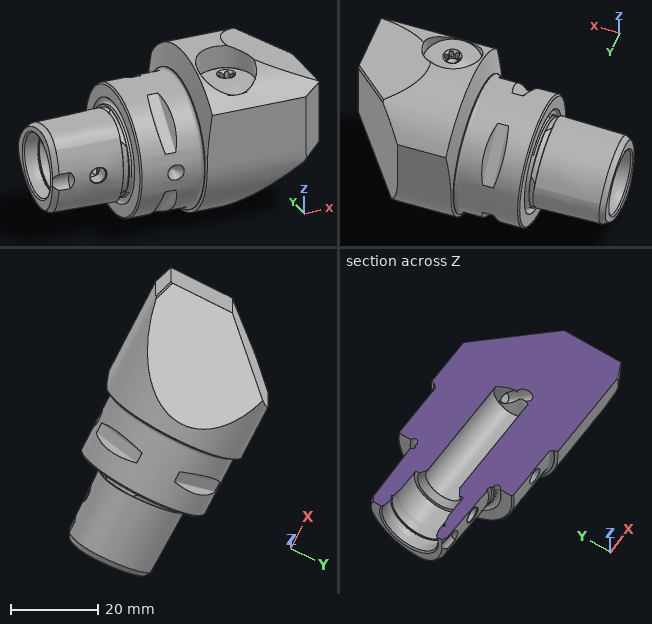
import cadquery as cq
import math

total_length = 64.0
cut_block = 128.0

lobe_centre_radius = 4.8
lobe_arc_radius = 6.85
lobe_spacing = lobe_centre_radius * math.sqrt(3)
taper_end_x = 17.3
taper_inset = 0.4
tip_chamfer_length = 1.35
tip_chamfer_angle = 30.0
tip_chamfer_depth = tip_chamfer_length * math.tan(math.radians(tip_chamfer_angle))
neck_radius = 10.8
root_radius = 10.95
neck_inset = 0.3
neck_flat_end_x = 18.5

collar_radius = 16.0
collar_start_x = 19.1
collar_end_x = 34.0
collar_chamfer = 0.4
relief_outer_radius = 12.55
relief_radius = (relief_outer_radius - root_radius) / 2
collar_fillet_radius = 0.8

notch_x = 26.95
notch_floor_width = 2.6
notch_floor_distance = 14.2
notch_wall_angle = 30.0
notch_fillet = 0.2
notch_angles = (45, 135, 225, 315)

dimple_x = 28.0
dimple_radius = 2.05

head_width = 35.0
head_height = 39.75
head_half_width = head_width / 2
head_top_radius = head_height - head_half_width
head_back_x = 35.15
back_cone_angle = 15.0
top_slope_angle = 20.0
top_slope_start_x = 46.85
bottom_slope_angle = 35.0
bottom_slope_tip_z = 0.05
oblique_face_angle = 47.7
oblique_corner_y = 0.2
top_edge_mid_x = 58.9
end_bevel_x = 59.85
end_bevel_depth = 1.85
edge_chamfer = 0.4

mouth_radius = 8.1
entry_radius = 7.75
entry_end_x = 1.9
bore_radius = 7.3
bore_narrowing_x = 4.85
bore_cone_radius = 7.2
bore_step_radius = 7.0
bore_cone_start_x = 5.7
bore_cone_end_x = 6.35
groove_x = 3.5
groove_width = 0.4
step_inner_radius = 6.0
bore_step_x = 12.5
inner_cone_half_angle = 30.0
coolant_radius = 5.0
coolant_end_x = 42.25
drill_half_angle = 59.0

key_radius = 2.95
key_axis_y = -12.0
key_length = 4.1
cross_hole_x = 11.0
cross_hole_radius = 1.9
cross_hole_countersink = 0.25

pocket_x = 44.0
pocket_y = -8.05
pocket_radius = 7.0
pocket_floor_z = 10.25
dome_top_z = 18.7
dome_radius = 11.8
socket_outer_radius = 1.9
socket_lobe_radius = 0.5
socket_countersink_radius = 2.4
socket_lobes = 6
socket_depth = 2.55

channel_radius = 1.4
channel_angle = 45.0
channel_start = 4.8


def lobe_section(x, inset):
    """Three-lobed outline, parallel to the YZ plane at x and offset inwards by inset."""
    lobe = lobe_arc_radius - inset
    flat = lobe + lobe_spacing

    def point(centre_angle, radius, normal_angle):
        centre = math.radians(centre_angle)
        normal = math.radians(normal_angle)
        return (lobe_centre_radius * math.cos(centre) + radius * math.cos(normal),
                lobe_centre_radius * math.sin(centre) + radius * math.sin(normal))

    outline = cq.Workplane("YZ", origin=(x, 0, 0)).moveTo(*point(0, lobe, -30))
    for angle in (0, 120, 240):
        outline = outline.threePointArc(point(angle, lobe, angle), point(angle, lobe, angle + 30))
        outline = outline.threePointArc(
            point(angle + 240, flat, angle + 60), point(angle + 120, lobe, angle + 90))
    return outline.close().val()


def lobe_frustum(x0, inset0, x1, inset1):
    sections = [lobe_section(x0, inset0), lobe_section(x1, inset1)]
    return cq.Workplane(cq.Solid.makeLoft(sections, True))


def turned(points):
    """Solid of revolution about X from (x, radius) points that start and end on the axis."""
    return cq.Workplane("XY").polyline(points).close().revolve(360, (0, 0, 0), (1, 0, 0))


def cone_along(origin, direction, radius, depth):
    return cq.Workplane(cq.Solid.makeCone(radius, 0, depth, cq.Vector(*origin), cq.Vector(*direction)))


def cylinder_along(origin, direction, radius, length):
    return cq.Workplane(cq.Solid.makeCylinder(radius, length, cq.Vector(*origin), cq.Vector(*direction)))


def space_beyond(point, normal):
    """Large block that fills the space on the outer side of a plane."""
    return cq.Workplane(cq.Plane(point, normal=normal)).rect(cut_block, cut_block).extrude(cut_block)


def make_shank():
    base_x = tip_chamfer_length
    tip = lobe_frustum(0, taper_inset + tip_chamfer_depth, base_x, taper_inset)
    taper = lobe_frustum(base_x, taper_inset, taper_end_x, 0)
    root_end_x = collar_start_x + relief_radius
    neck_length = neck_flat_end_x - taper_end_x
    neck_envelope = cylinder_along((taper_end_x, 0, 0), (1, 0, 0), neck_radius, neck_length)
    neck = lobe_frustum(taper_end_x, neck_inset, neck_flat_end_x, 0).intersect(neck_envelope)
    root = cylinder_along((neck_flat_end_x, 0, 0), (1, 0, 0), root_radius, root_end_x - neck_flat_end_x)
    return tip.union(taper).union(neck).union(root)


def make_collar():
    fillet_top = collar_radius + collar_fillet_radius
    fillet_mid = collar_fillet_radius * math.sqrt(0.5)
    collar = (
        cq.Workplane("XY")
        .moveTo(collar_start_x, 0)
        .lineTo(collar_start_x, collar_radius - collar_chamfer)
        .lineTo(collar_start_x + collar_chamfer, collar_radius)
        .lineTo(collar_end_x, collar_radius)
        .threePointArc(
            (collar_end_x + fillet_mid, fillet_top - fillet_mid),
            (collar_end_x + collar_fillet_radius, fillet_top))
        .lineTo(head_back_x + collar_fillet_radius, fillet_top)
        .lineTo(head_back_x + collar_fillet_radius, 0)
        .close()
        .revolve(360, (0, 0, 0), (1, 0, 0))
    )
    relief = (
        cq.Workplane("XY")
        .moveTo(collar_start_x, root_radius)
        .threePointArc(
            (collar_start_x + relief_radius, root_radius + relief_radius),
            (collar_start_x, relief_outer_radius))
        .close()
        .revolve(360, (0, 0, 0), (1, 0, 0))
    )
    collar = collar.cut(relief)
    for angle in notch_angles:
        collar = collar.cut(gripper_notch().rotate((0, 0, 0), (1, 0, 0), angle))
    dimple = cone_along((dimple_x, -collar_radius, 0), (0, 1, 0), dimple_radius, dimple_radius)
    return collar.cut(dimple)


def gripper_notch():
    """Trapezoidal groove across the +Y side of the collar."""
    depth = collar_radius - notch_floor_distance
    floor = notch_floor_width / 2
    mouth = floor + depth * math.tan(math.radians(notch_wall_angle))
    return (
        cq.Workplane("XY", origin=(notch_x, 0, -collar_radius))
        .polyline([(-floor, notch_floor_distance), (floor, notch_floor_distance),
                   (mouth, collar_radius), (-mouth, collar_radius)])
        .close()
        .extrude(2 * collar_radius)
        .edges("|Z and <Y")
        .fillet(notch_fillet)
    )


def make_head():
    cone_slope = math.tan(math.radians(back_cone_angle))
    top_back_x = head_back_x + (head_top_radius - head_half_width) * cone_slope
    axis_back_x = head_back_x - head_half_width * cone_slope
    head = turned([(axis_back_x, 0), (top_back_x, head_top_radius),
                   (total_length, head_top_radius), (total_length, 0)])
    head = head.intersect(space_beyond((collar_end_x, 0, 0), (1, 0, 0)))
    outline = (
        cq.Workplane("YZ")
        .moveTo(-head_half_width, head_top_radius)
        .lineTo(-head_half_width, 0)
        .threePointArc((0, -head_half_width), (head_half_width, 0))
        .lineTo(head_half_width, head_top_radius)
        .close()
        .extrude(total_length)
    )
    head = head.intersect(outline)

    top = math.radians(top_slope_angle)
    bottom = math.radians(bottom_slope_angle)
    oblique = math.radians(oblique_face_angle)
    planes = [
        ((top_slope_start_x, 0, head_top_radius), (math.sin(top), 0, math.cos(top))),
        ((total_length, 0, bottom_slope_tip_z), (math.sin(bottom), 0, -math.cos(bottom))),
        ((total_length, oblique_corner_y, 0), (math.sin(oblique), math.cos(oblique), 0)),
        ((end_bevel_x, -head_half_width, 0), (end_bevel_depth, end_bevel_x - total_length, 0)),
    ]
    for point, normal in planes:
        head = head.cut(space_beyond(point, normal))

    bevel_mid_x = (end_bevel_x + total_length) / 2
    bevel_edge = (
        bevel_mid_x,
        end_bevel_depth / 2 - head_half_width,
        bottom_slope_tip_z - (total_length - bevel_mid_x) * math.tan(bottom),
    )
    top_edge = (
        top_edge_mid_x,
        oblique_corner_y + (total_length - top_edge_mid_x) * math.tan(oblique),
        head_top_radius - (top_edge_mid_x - top_slope_start_x) * math.tan(top),
    )
    for point in (top_edge, bevel_edge):
        head = head.edges(cq.selectors.NearestToPointSelector(point)).chamfer(edge_chamfer)
    return head


def make_bore():
    bore_tip_x = coolant_end_x + coolant_radius / math.tan(math.radians(drill_half_angle))
    mouth_chamfer = mouth_radius - entry_radius
    cone_length = (step_inner_radius - coolant_radius) / math.tan(math.radians(inner_cone_half_angle))
    cone_end_x = bore_step_x + cone_length
    groove_end_x = groove_x + groove_width
    return turned([
        (0, 0),
        (0, mouth_radius),
        (mouth_chamfer, entry_radius),
        (entry_end_x, bore_radius),
        (groove_x, bore_radius),
        (groove_x, entry_radius),
        (groove_end_x, entry_radius),
        (groove_end_x, bore_radius),
        (bore_narrowing_x, bore_radius),
        (bore_cone_start_x, bore_cone_radius),
        (bore_cone_end_x, bore_step_radius),
        (bore_step_x, bore_step_radius),
        (bore_step_x, step_inner_radius),
        (cone_end_x, coolant_radius),
        (coolant_end_x, coolant_radius),
        (bore_tip_x, 0),
    ])


def make_keyway():
    slot = cylinder_along((0, key_axis_y, 0), (1, 0, 0), key_radius, key_length)
    tip = cone_along((key_length, key_axis_y, 0), (1, 0, 0), key_radius, key_radius)
    return slot.union(tip)


def make_cross_hole():
    flat_y = -(lobe_arc_radius + lobe_spacing - lobe_centre_radius)
    surface_y = flat_y + taper_inset * (1 - cross_hole_x / taper_end_x)
    bore_wall_y = -math.sqrt(bore_step_radius ** 2 - cross_hole_radius ** 2)
    hole = cylinder_along((cross_hole_x, flat_y, 0), (0, 1, 0), cross_hole_radius, bore_wall_y - flat_y)
    rim_radius = cross_hole_radius + cross_hole_countersink
    countersink = cone_along((cross_hole_x, surface_y, 0), (0, 1, 0), rim_radius, rim_radius)
    return hole.union(countersink)


def make_pocket():
    return cylinder_along((pocket_x, pocket_y, pocket_floor_z), (0, 0, 1), pocket_radius, head_top_radius)


def make_channel():
    """Cross drilling that slants up towards -Y and opens into the pocket floor."""
    direction = (0, -math.sin(math.radians(channel_angle)), math.cos(math.radians(channel_angle)))
    start = (pocket_x, -channel_start * direction[1], -channel_start * direction[2])
    length = channel_start + pocket_floor_z / direction[2]
    return cylinder_along(start, direction, channel_radius, length)


def make_holder():
    holder = make_shank().union(make_collar()).union(make_head())
    for void in (make_bore(), make_keyway(), make_cross_hole(), make_pocket(), make_channel()):
        holder = holder.cut(void)
    return holder


def make_plug():
    barrel = make_pocket()
    dome = cq.Workplane("XY").sphere(dome_radius).translate((pocket_x, pocket_y, dome_top_z - dome_radius))
    plug = barrel.intersect(dome)
    return plug.cut(make_socket())


def make_socket():
    """Six-lobed drive recess with a conical mouth and floor."""
    centre_distance = socket_outer_radius - socket_lobe_radius
    axis = (pocket_x, pocket_y, dome_top_z - socket_depth)
    recess = (
        cq.Workplane("XY", origin=axis)
        .circle(centre_distance)
        .extrude(socket_depth)
    )
    lobes = (
        cq.Workplane("XY", origin=axis)
        .polarArray(centre_distance, 0, 360, socket_lobes)
        .circle(socket_lobe_radius)
        .extrude(socket_depth)
    )
    floor = cone_along(axis, (0, 0, -1), centre_distance, centre_distance / 2)
    mouth = cone_along((pocket_x, pocket_y, dome_top_z), (0, 0, -1),
                       socket_countersink_radius, socket_countersink_radius)
    return recess.union(lobes).union(floor).union(mouth)


holder = make_holder()
plug = make_plug()
result = cq.Compound.makeCompound([holder.solids().val(), plug.solids().val()])